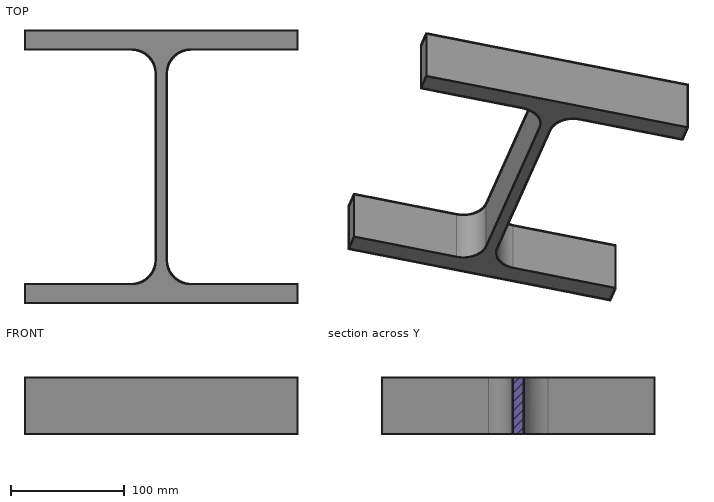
import cadquery as cq

section_depth = 240.0
flange_width = 240.0
flange_thickness = 17.0
web_thickness = 10.0
root_radius = 21.0
beam_length = 50.0


def make_flange(side):
    """Flange plate at the +Y (side = 1) or -Y (side = -1) end of the web."""
    center_y = side * (section_depth - flange_thickness) / 2
    return (
        cq.Workplane("XY")
        .center(0, center_y)
        .rect(flange_width, flange_thickness)
        .extrude(beam_length)
    )


def make_web():
    """Web plate spanning between the inner faces of the flanges."""
    web_depth = section_depth - 2 * flange_thickness
    return cq.Workplane("XY").rect(web_thickness, web_depth).extrude(beam_length)


def fillet_roots(beam):
    """Round the four inner corners where the web meets the flanges."""
    root_x = web_thickness / 2
    root_y = section_depth / 2 - flange_thickness
    half_length = beam_length / 2
    for x in (-root_x, root_x):
        for y in (-root_y, root_y):
            root_edge = cq.selectors.NearestToPointSelector((x, y, half_length))
            beam = beam.edges("|Z").edges(root_edge).fillet(root_radius)
    return beam


plain_beam = make_web().union(make_flange(1)).union(make_flange(-1))
result = fillet_roots(plain_beam)